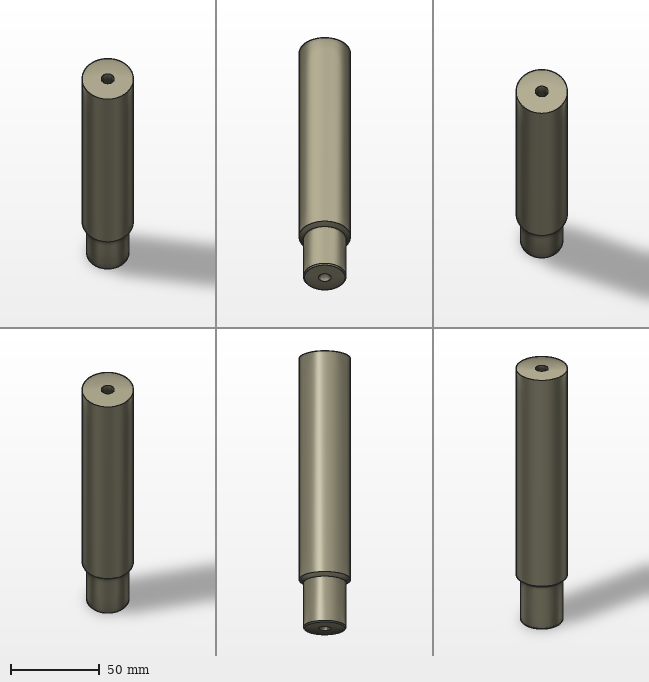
import cadquery as cq

total_length = 160.0
barrel_diameter = 29.0
spigot_diameter = 24.0
bore_diameter = 7.0
spigot_length = 27.0
shoulder_chamfer_height = 2.0
tip_chamfer_height = 0.8
tip_chamfer_width = 0.6


def make_barrel():
    """Bored upper cylinder whose lower rim tapers in to the spigot diameter."""
    bore_radius = bore_diameter / 2
    barrel_radius = barrel_diameter / 2
    half_section = (
        cq.Workplane("XZ")
        .moveTo(bore_radius, spigot_length)
        .lineTo(spigot_diameter / 2, spigot_length)
        .lineTo(barrel_radius, spigot_length + shoulder_chamfer_height)
        .lineTo(barrel_radius, total_length)
        .lineTo(bore_radius, total_length)
        .close()
    )
    return half_section.revolve(360, (0, 0), (0, 1))


def make_spigot():
    """Bored lower cylinder with a tapered tip, butted against the barrel."""
    bore_radius = bore_diameter / 2
    spigot_radius = spigot_diameter / 2
    half_section = (
        cq.Workplane("XZ")
        .moveTo(bore_radius, 0)
        .lineTo(spigot_radius - tip_chamfer_width, 0)
        .lineTo(spigot_radius, tip_chamfer_height)
        .lineTo(spigot_radius, spigot_length)
        .lineTo(bore_radius, spigot_length)
        .close()
    )
    return half_section.revolve(360, (0, 0), (0, 1))


barrel = make_barrel()
spigot = make_spigot()

result = cq.Compound.makeCompound([barrel.val(), spigot.val()])